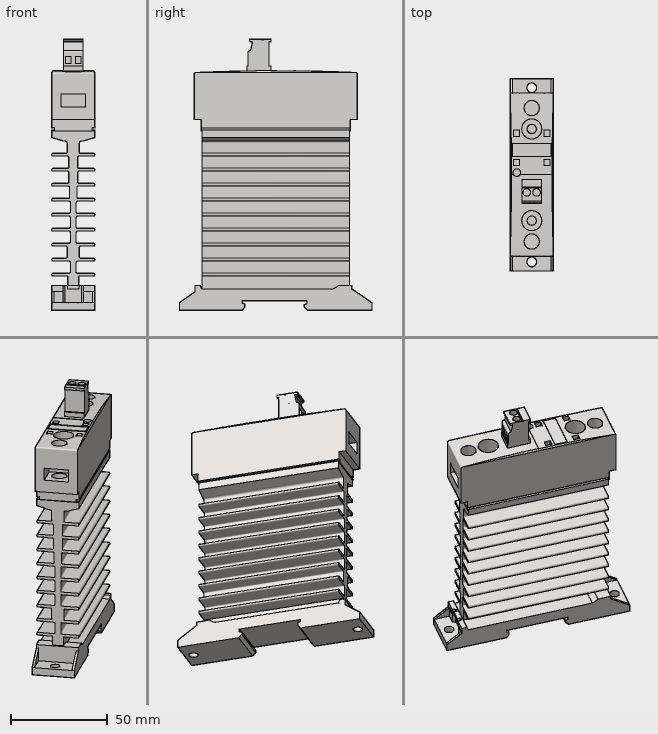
import cadquery as cq

WIDTH = 22.3
TOTAL_HEIGHT = 140.5
TOTAL_LENGTH = 99.8
HALF_WIDTH = WIDTH / 2
HALF_LENGTH = TOTAL_LENGTH / 2

FOOT_FLOOR = 4.1
FOOT_SADDLE = 11.1
FOOT_HUMP = 12.9
FOOT_WALL = 1.3
BACK_HUMP_Y = 39.5
FRONT_HUMP_Y = -41.9
FRONT_POCKET_Y = -41.6
FRONT_HUMP_LEDGE = 9.7
SCREW_Y = 45.1
SCREW_DIAMETER = 4.9
RECESS_HALF_WIDTH = 4.2
RECESS_BACK_Y = -39.8
RECESS_FLARE = 1.0
RECESS_FLARE_START_Y = -40.2

SINK_LENGTH = 76.6
SINK_TOP = 93.0
SLAB_EDGE = 89.5
SLAB_ROOT = 87.7
SLAB_ROOT_HALF_WIDTH = 5.0
FIN_COUNT = 9
FIN_THICKNESS = 1.5
TOP_FIN = 80.6
BOTTOM_FIN = 18.5
FIN_PITCH = (TOP_FIN - BOTTOM_FIN) / (FIN_COUNT - 1)
WEB_FILLET = 0.5
SLAB_FILLET = 1.1
FOOT_WEB = 3.0
WEB_HALF_THICKNESS = [3.2, 2.4, 2.4, 2.0, 1.5, 1.5, 1.5, 3.2, 1.5]

HOUSING_LENGTH = 84.6
HOUSING_BASE_LENGTH = 77.4
HOUSING_STEP = 98.8
HOUSING_TOP = 123.2
CROWN_TOP = 124.2
CROWN_BEVEL = 0.7
HOUSING_FILLET = 0.8
GROOVE_BOTTOM = 93.5
GROOVE_HEIGHT = 1.1
GROOVE_DEPTH = 1.4
WIRE_HOLE_Y = 34.5
WIRE_HOLE_DIAMETER = 7.9
WIRE_HOLE_BOTTOM = 100.5
TERMINAL_Y = 23.7
TERMINAL_DIAMETER = 10.4
TERMINAL_SCREW_DIAMETER = 4.8
TERMINAL_SCREW_BOTTOM = 100.5
SLOT_WIDTH = 12.8
SLOT_BOTTOM = 105.4
SLOT_TOP = 112.0
SLOT_DEPTH = 12.6
LATCH_X = 7.9
LATCH_ROWS_Y = [21.5, 6.3]
LATCH_SIZE = (3.0, 3.2)
LATCH_DEPTH = 2.8
LAMP_X = -7.7
LAMP_Y = 1.1
LAMP_DIAMETER = 4.0
LAMP_DEPTH = 2.8
COVER_FRONT_Y = 0.3
LABEL_FRONT_Y = 9.4
LABEL_BACK_Y = 16.2
COVER_DEPTH = 0.1
LABEL_DEPTH = 0.3
LABEL_WIDTH = 20.0

PLUG_WIDTH = 10.3
PLUG_PITCH = 5.0
PLUG_BACK_Y = -2.4
PLUG_FRONT_Y = -14.9
PLUG_FACE_Y = -14.5
PLUG_CAP_FRONT_Y = -13.6
PLUG_BODY_BACK_Y = -3.4
PLUG_FOOT_TOP = 126.7
PLUG_CAP_BOTTOM = 139.1
PLUG_HOLE_Y = -9.1
PLUG_HOLE_DIAMETER = 4.0
PLUG_HOLE_DEPTH = 5.6
PLUG_WINDOW_WIDTH = 2.8
PLUG_WINDOW_BOTTOM = 128.0
PLUG_WINDOW_TOP = 131.5
PLUG_WINDOW_DEPTH = 2.8
PLUG_GROOVE_Y = -6.6
PLUG_GROOVE_WIDTH = 0.5
PLUG_GROOVE_DEPTH = 0.3


def block(x0, x1, y0, y1, z0, z1):
    """Box between two opposite corners."""
    return cq.Workplane("XY").box(x1 - x0, y1 - y0, z1 - z0, centered=False).translate((x0, y0, z0))


def across(points, width):
    """Extrude a (Y, Z) outline symmetrically along X."""
    return cq.Workplane("YZ").polyline(points).close().extrude(width / 2, both=True)


def along(points, length):
    """Extrude an (X, Z) outline symmetrically along Y."""
    return cq.Workplane("XZ").polyline(points).close().extrude(length / 2, both=True)


def drill(x, y, diameter, bottom, top):
    """Vertical cylinder used as a hole cutter."""
    return cq.Workplane("XY", origin=(x, y, bottom)).circle(diameter / 2).extrude(top - bottom)


def make_foot():
    foot = across(
        [
            (-HALF_LENGTH, 0), (-17.4, 0), (-16.0, 1.7), (-16.0, 3.4), (-17.4, 4.0), (-17.4, 4.9),
            (16.2, 4.9), (16.2, 3.5), (14.8, 3.1), (14.8, 1.7), (16.5, 0), (HALF_LENGTH, 0),
            (HALF_LENGTH, FOOT_FLOOR), (BACK_HUMP_Y, FOOT_SADDLE), (BACK_HUMP_Y, FOOT_HUMP),
            (32.5, FOOT_HUMP), (30.5, 11.5), (29.4, FOOT_SADDLE),
            (-SINK_LENGTH / 2, FOOT_SADDLE), (-39.0, FOOT_HUMP), (FRONT_HUMP_Y, FOOT_HUMP),
            (FRONT_HUMP_Y, FRONT_HUMP_LEDGE), (-HALF_LENGTH, FOOT_FLOOR),
        ],
        WIDTH,
    )
    inner = HALF_WIDTH - FOOT_WALL
    foot = foot.cut(block(-inner, inner, BACK_HUMP_Y, HALF_LENGTH, FOOT_FLOOR, FOOT_HUMP))
    foot = foot.cut(block(-inner, inner, -HALF_LENGTH, FRONT_POCKET_Y, FOOT_FLOOR, FRONT_HUMP_LEDGE))

    mouth = RECESS_HALF_WIDTH + RECESS_FLARE
    recess = (
        cq.Workplane("XY", origin=(0, 0, FOOT_FLOOR))
        .polyline([
            (-RECESS_HALF_WIDTH, RECESS_BACK_Y), (-RECESS_HALF_WIDTH, RECESS_FLARE_START_Y),
            (-mouth, FRONT_POCKET_Y), (-mouth, FRONT_HUMP_Y),
            (mouth, FRONT_HUMP_Y), (mouth, FRONT_POCKET_Y),
            (RECESS_HALF_WIDTH, RECESS_FLARE_START_Y), (RECESS_HALF_WIDTH, RECESS_BACK_Y),
        ])
        .close()
        .extrude(FOOT_HUMP - FOOT_FLOOR)
    )
    foot = foot.cut(recess)
    foot = foot.union(block(-FOOT_WEB, FOOT_WEB, FRONT_POCKET_Y, RECESS_BACK_Y, FOOT_SADDLE, FOOT_HUMP))

    for side in (-1, 1):
        foot = foot.cut(drill(0, side * SCREW_Y, SCREW_DIAMETER, 0, FOOT_FLOOR))
    return foot


def web_gap(web, bottom, top, top_fillet):
    """Pair of cutters that leave a web between two neighbouring fins, with filleted roots."""
    half = block(web, HALF_WIDTH, -SINK_LENGTH / 2, SINK_LENGTH / 2, bottom, top)
    half = half.faces("<X").edges(">Z").fillet(top_fillet)
    half = half.faces("<X").edges("<Z").fillet(WEB_FILLET)
    return half.union(half.mirror("YZ"))


def make_heat_sink():
    half_fin = FIN_THICKNESS / 2
    core = HALF_WIDTH - half_fin
    sink = block(-core, core, -SINK_LENGTH / 2, SINK_LENGTH / 2, BOTTOM_FIN, SLAB_ROOT)
    slab = along(
        [
            (-HALF_WIDTH, SINK_TOP), (-HALF_WIDTH, SLAB_EDGE), (-SLAB_ROOT_HALF_WIDTH, SLAB_ROOT),
            (SLAB_ROOT_HALF_WIDTH, SLAB_ROOT), (HALF_WIDTH, SLAB_EDGE), (HALF_WIDTH, SINK_TOP),
        ],
        SINK_LENGTH,
    )
    gap_top = SLAB_ROOT
    top_fillet = SLAB_FILLET
    for index, web in enumerate(WEB_HALF_THICKNESS):
        fin_level = TOP_FIN - index * FIN_PITCH
        sink = sink.cut(web_gap(web, fin_level + half_fin, gap_top, top_fillet))
        gap_top = fin_level - half_fin
        top_fillet = WEB_FILLET
    for index in range(FIN_COUNT):
        fin = (
            cq.Workplane("XZ", origin=(0, 0, TOP_FIN - index * FIN_PITCH))
            .slot2D(WIDTH, FIN_THICKNESS)
            .extrude(SINK_LENGTH / 2, both=True)
        )
        sink = sink.union(fin)
    lower_web = block(-FOOT_WEB, FOOT_WEB, -SINK_LENGTH / 2, SINK_LENGTH / 2, FOOT_SADDLE, BOTTOM_FIN)
    return sink.union(slab).union(lower_web)


def make_housing_shell():
    half = HOUSING_LENGTH / 2
    base = HOUSING_BASE_LENGTH / 2
    shell = (
        cq.Workplane("YZ")
        .moveTo(-base, SINK_TOP)
        .lineTo(-base, HOUSING_STEP)
        .lineTo(-half, HOUSING_STEP)
        .lineTo(-half, HOUSING_TOP)
        .threePointArc((0, CROWN_TOP), (half, HOUSING_TOP))
        .lineTo(half, HOUSING_STEP)
        .lineTo(base, HOUSING_STEP)
        .lineTo(base, SINK_TOP)
        .close()
        .extrude(HALF_WIDTH, both=True)
    )
    shell = shell.faces("<Y or >Y").edges(">Z").fillet(HOUSING_FILLET)

    for side in (-1, 1):
        bevel = along(
            [
                (side * HALF_WIDTH, HOUSING_TOP),
                (side * (HALF_WIDTH - CROWN_BEVEL), CROWN_TOP),
                (side * HALF_WIDTH, CROWN_TOP),
            ],
            HOUSING_LENGTH,
        )
        shell = shell.cut(bevel)

        outer = side * HALF_WIDTH
        inner = side * (HALF_WIDTH - GROOVE_DEPTH)
        groove = block(
            min(outer, inner), max(outer, inner), -base, base, GROOVE_BOTTOM, GROOVE_BOTTOM + GROOVE_HEIGHT
        )
        shell = shell.cut(groove)
    return shell


def cut_terminals(housing):
    """Wire slot, wire hole and counterbored screw hole at both ends."""
    half = HOUSING_LENGTH / 2
    slot = block(-SLOT_WIDTH / 2, SLOT_WIDTH / 2, -half, SLOT_DEPTH - half, SLOT_BOTTOM, SLOT_TOP)
    terminal = (
        slot
        .union(drill(0, -WIRE_HOLE_Y, WIRE_HOLE_DIAMETER, WIRE_HOLE_BOTTOM, CROWN_TOP))
        .union(drill(0, -TERMINAL_Y, TERMINAL_DIAMETER, SLOT_TOP, CROWN_TOP))
        .union(drill(0, -TERMINAL_Y, TERMINAL_SCREW_DIAMETER, TERMINAL_SCREW_BOTTOM, SLOT_TOP))
    )
    return housing.cut(terminal).cut(terminal.mirror("XZ"))


def cut_top_details(housing):
    """Cover and label recesses, latch pockets and indicator lamp hole in the crown."""
    label_half = LABEL_WIDTH / 2
    fall_share = (LABEL_BACK_Y / (HOUSING_LENGTH / 2)) ** 2
    label_level = CROWN_TOP - (CROWN_TOP - HOUSING_TOP) * fall_share
    housing = housing.cut(
        block(-HALF_WIDTH, HALF_WIDTH, COVER_FRONT_Y, LABEL_FRONT_Y, CROWN_TOP - COVER_DEPTH, CROWN_TOP)
    )
    housing = housing.cut(
        block(-label_half, label_half, LABEL_FRONT_Y, LABEL_BACK_Y, label_level - LABEL_DEPTH, CROWN_TOP)
    )
    for row_y in LATCH_ROWS_Y:
        for side in (-1, 1):
            latch = cq.Workplane("XY", origin=(side * LATCH_X, row_y, CROWN_TOP)).rect(*LATCH_SIZE)
            housing = housing.cut(latch.extrude(-LATCH_DEPTH))
    return housing.cut(drill(LAMP_X, LAMP_Y, LAMP_DIAMETER, CROWN_TOP - LAMP_DEPTH, CROWN_TOP))


def make_plug():
    plug = (
        cq.Workplane("YZ")
        .moveTo(PLUG_FRONT_Y, HOUSING_TOP)
        .lineTo(PLUG_FRONT_Y, PLUG_FOOT_TOP)
        .lineTo(PLUG_FACE_Y, PLUG_FOOT_TOP)
        .lineTo(PLUG_FACE_Y, 133.6)
        .tangentArcPoint((-13.8, 134.5), relative=False)
        .lineTo(-13.0, 134.7)
        .lineTo(-12.1, PLUG_CAP_BOTTOM)
        .lineTo(-13.2, PLUG_CAP_BOTTOM)
        .lineTo(PLUG_CAP_FRONT_Y, PLUG_CAP_BOTTOM + 0.4)
        .lineTo(PLUG_CAP_FRONT_Y, TOTAL_HEIGHT)
        .lineTo(PLUG_BACK_Y, TOTAL_HEIGHT)
        .lineTo(PLUG_BACK_Y, PLUG_CAP_BOTTOM)
        .lineTo(PLUG_BODY_BACK_Y, PLUG_CAP_BOTTOM)
        .lineTo(PLUG_BODY_BACK_Y, PLUG_FOOT_TOP)
        .lineTo(PLUG_BACK_Y, PLUG_FOOT_TOP)
        .lineTo(PLUG_BACK_Y, HOUSING_TOP)
        .close()
        .extrude(PLUG_WIDTH / 2, both=True)
    )
    groove = block(
        -PLUG_WIDTH / 2, PLUG_WIDTH / 2,
        PLUG_GROOVE_Y - PLUG_GROOVE_WIDTH / 2, PLUG_GROOVE_Y + PLUG_GROOVE_WIDTH / 2,
        TOTAL_HEIGHT - PLUG_GROOVE_DEPTH, TOTAL_HEIGHT,
    )
    plug = plug.cut(groove)
    for x in (-PLUG_PITCH / 2, PLUG_PITCH / 2):
        plug = plug.cut(
            drill(x, PLUG_HOLE_Y, PLUG_HOLE_DIAMETER, TOTAL_HEIGHT - PLUG_HOLE_DEPTH, TOTAL_HEIGHT)
        )
        window = block(
            x - PLUG_WINDOW_WIDTH / 2, x + PLUG_WINDOW_WIDTH / 2,
            PLUG_FRONT_Y, PLUG_FACE_Y + PLUG_WINDOW_DEPTH, PLUG_WINDOW_BOTTOM, PLUG_WINDOW_TOP,
        )
        plug = plug.cut(window)
    return plug


housing = cut_top_details(cut_terminals(make_housing_shell()))
result = make_foot().union(make_heat_sink()).union(housing).union(make_plug())